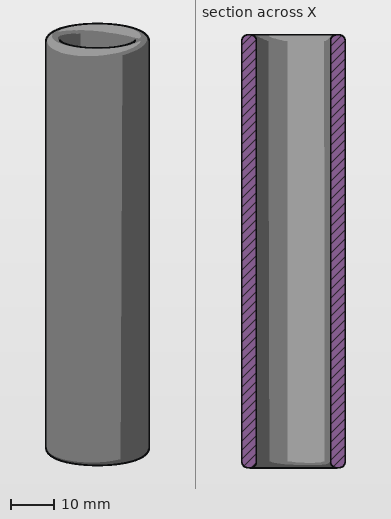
import cadquery as cq

length = 100.0
outer_diameter = 24.0
bore_diameter = 17.0
rim_radius = 1.5

tube = (
    cq.Workplane("XY")
    .circle(outer_diameter / 2)
    .circle(bore_diameter / 2)
    .extrude(length)
)

result = tube.faces("<Z or >Z").edges().fillet(rim_radius)